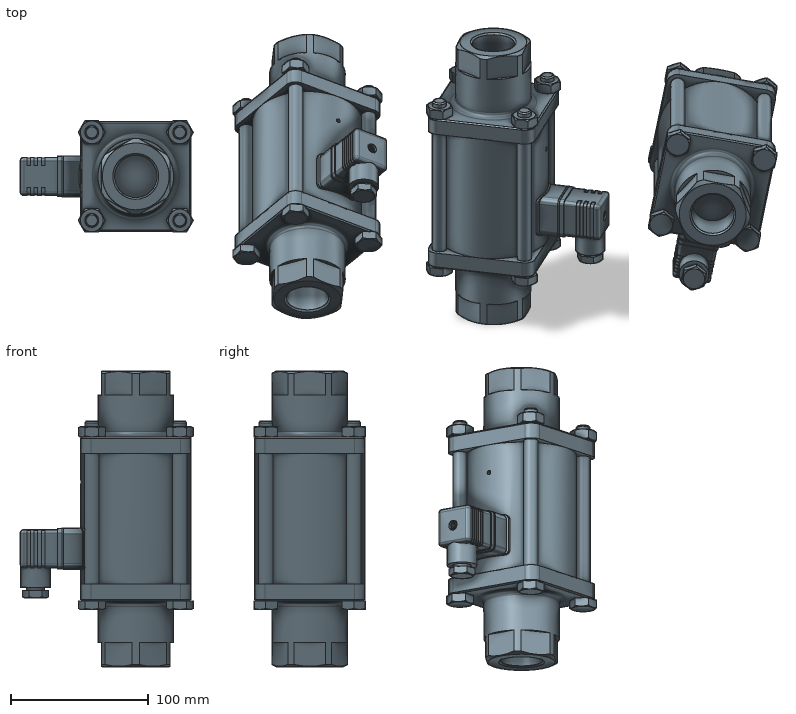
import cadquery as cq
import math

overall_length = 215.0

body_diameter = 80.0
body_length = 95.0
plate_width = 80.0
plate_thickness = 12.0
plate_corner_radius = 7.5
plate_chamfer = 1.0
vent_diameter = 3.0
vent_depth = 2.0
vent_z = 26.7

neck_diameter = 55.0
neck_root_fillet = 4.0
port_hex_flats = 50.0
port_hex_length = 17.5
port_hex_turn = 30.0
port_chamfer_radial = 3.2
port_chamfer_axial = 1.7
port_bore_diameter = 30.75
port_bore_depth = 25.0
port_bore_chamfer = 1.25

tie_pitch = 64.0
sleeve_diameter = 10.5
thread_diameter = 10.0
thread_end_z = 71.0
thread_chamfer_radial = 0.9
thread_chamfer_axial = 1.1
nut_flats = 17.0
nut_height = 7.6
bolt_head_height = 6.4
nut_chamfer_diameter = 16.5

connector_z = -21.65
connector_end_x = -84.01
cap_inner_x = -56.9
collar_inner_x = -53.6
seal_inner_x = -52.4
cap_width = 27.8
collar_width = 29.4
seal_width = 29.8
socket_width = 30.0
cap_corner_radius = 2.6
socket_corner_radius = 4.3
saddle_width = 33.0
saddle_height = 30.2
saddle_thickness = 1.5
saddle_corner_radius = 4.0

groove_count = 3
groove_width = 2.6
groove_pitch = 5.2
groove_depth = 0.5
groove_reach = 6.0
first_groove_x = -77.8

screw_hole_diameter = 7.2
screw_hole_depth = 2.5
screw_head_diameter = 5.2
screw_head_height = 1.5
screw_slot_length = 4.13
screw_slot_width = 1.2
screw_slot_depth = 0.8

gland_x = -72.9
gland_diameter = 21.5
gland_bottom_z = -49.7
gland_neck_diameter = 13.3
gland_neck_length = 2.3
gland_hex_flats = 16.5
gland_hex_height = 5.6
gland_chamfer_diameter = 15.6

half_length = overall_length / 2
plate_outer_z = body_length / 2 + plate_thickness
neck_radius = neck_diameter / 2
cap_length = cap_inner_x - connector_end_x
cap_half_width = cap_width / 2


def disc(diameter, z_start, z_end, x=0.0, y=0.0):
    """Upright cylinder between two heights."""
    return cq.Workplane("XY", origin=(x, y, z_start)).circle(diameter / 2).extrude(z_end - z_start)


def hex_prism(flats, z_start, height, x=0.0, y=0.0):
    """Upright hexagonal prism with two corners on the X direction."""
    corner_diameter = flats / math.cos(math.pi / 6)
    return cq.Workplane("XY", origin=(x, y, z_start)).polygon(6, corner_diameter).extrude(height)


def chamfered_hex(flats, z_start, height, chamfer_diameter, end_faces, x=0.0, y=0.0):
    """Hexagon whose corners are turned off by a 30 degree cone on the chosen end faces."""
    corner_diameter = flats / math.cos(math.pi / 6)
    radial = (corner_diameter - chamfer_diameter) / 2
    axial = radial * math.tan(math.pi / 6)
    blank = cq.Workplane("XY", origin=(x, y, z_start)).circle(corner_diameter / 2).extrude(height)
    for selector in end_faces:
        blank = blank.faces(selector).chamfer(axial, radial)
    return hex_prism(flats, z_start, height, x, y).intersect(blank)


def rounded_bar(x_start, x_end, width, height, corner_radius):
    """Bar along X with rounded long edges, centred on the connector axis."""
    bar = cq.Workplane("YZ", origin=(x_start, 0, connector_z)).rect(width, height).extrude(x_end - x_start)
    return bar.edges("|X").fillet(corner_radius)


def make_end():
    """Upper end plate with its port neck, hexagon and blind bore."""
    plate = (
        cq.Workplane("XY", origin=(0, 0, body_length / 2))
        .rect(plate_width, plate_width)
        .extrude(plate_thickness)
        .edges("|Z")
        .fillet(plate_corner_radius)
        .faces(">Z")
        .edges()
        .chamfer(plate_chamfer)
    )
    arc_offset = neck_root_fillet * (1 - math.sqrt(0.5))
    neck = (
        cq.Workplane("XZ")
        .moveTo(0, body_length / 2)
        .lineTo(neck_radius + neck_root_fillet, body_length / 2)
        .lineTo(neck_radius + neck_root_fillet, plate_outer_z)
        .threePointArc(
            (neck_radius + arc_offset, plate_outer_z + arc_offset),
            (neck_radius, plate_outer_z + neck_root_fillet),
        )
        .lineTo(neck_radius, half_length - port_chamfer_axial)
        .lineTo(neck_radius - port_chamfer_radial, half_length)
        .lineTo(0, half_length)
        .close()
        .revolve(360, (0, 0), (0, 1))
    )
    hex_z = half_length - port_hex_length
    flats_waste = disc(2 * neck_diameter, hex_z, half_length).cut(
        hex_prism(port_hex_flats, hex_z, port_hex_length).rotate((0, 0, 0), (0, 0, 1), port_hex_turn)
    )
    bore = disc(port_bore_diameter, half_length - port_bore_depth, half_length)
    end = plate.union(neck).cut(flats_waste).cut(bore)
    bore_mouth = end.faces(">Z").edges("%CIRCLE").edges(cq.selectors.RadiusNthSelector(0))
    return bore_mouth.chamfer(port_bore_chamfer)


def make_tie_rod(x, y):
    """Sleeve between the plates, nut and thread end above, bolt head below."""
    sleeve = disc(sleeve_diameter, -body_length / 2, body_length / 2, x, y)
    thread = (
        disc(thread_diameter, body_length / 2, thread_end_z, x, y)
        .faces(">Z")
        .chamfer(thread_chamfer_axial, thread_chamfer_radial)
    )
    nut = chamfered_hex(nut_flats, plate_outer_z, nut_height, nut_chamfer_diameter, (">Z", "<Z"), x, y)
    head_z = -plate_outer_z - bolt_head_height
    head = chamfered_hex(nut_flats, head_z, bolt_head_height, nut_chamfer_diameter, ("<Z",), x, y)
    return sleeve.union(thread).union(nut).union(head)


def make_groove(x, side):
    """Shallow U-shaped groove around one side of the connector cap."""
    band = cq.Workplane("XY").box(groove_width, groove_reach, cap_width)
    band = band.translate((x, side * (cap_half_width - groove_reach / 2), connector_z))
    core_width = cap_width - 2 * groove_depth
    core = rounded_bar(connector_end_x, cap_inner_x, core_width, core_width, cap_corner_radius - groove_depth)
    return band.cut(core)


def make_cap():
    """Outer connector cap with grip grooves and a recessed cross-slotted screw."""
    cap = (
        cq.Workplane("XY")
        .box(cap_length, cap_width, cap_width)
        .translate((connector_end_x + cap_length / 2, 0, connector_z))
        .edges("|X or <X")
        .fillet(cap_corner_radius)
    )
    for index in range(groove_count):
        for side in (-1, 1):
            cap = cap.cut(make_groove(first_groove_x + index * groove_pitch, side))
    face = cq.Workplane("YZ", origin=(connector_end_x, 0, connector_z))
    cap = cap.cut(face.circle(screw_hole_diameter / 2).extrude(screw_hole_depth))
    floor = face.workplane(offset=screw_hole_depth)
    head_top = face.workplane(offset=screw_hole_depth - screw_head_height)
    head = floor.circle(screw_head_diameter / 2).extrude(-screw_head_height)
    head = head.cut(head_top.rect(screw_slot_length, screw_slot_width).extrude(screw_slot_depth))
    head = head.cut(head_top.rect(screw_slot_width, screw_slot_length).extrude(screw_slot_depth))
    return cap.union(head)


def make_gland():
    """Cable gland pointing down from the connector cap."""
    barrel = disc(gland_diameter, gland_bottom_z, connector_z - cap_half_width / 2, gland_x)
    neck_bottom = gland_bottom_z - gland_neck_length
    neck = disc(gland_neck_diameter, neck_bottom, gland_bottom_z, gland_x)
    nut_z = neck_bottom - gland_hex_height
    nut = chamfered_hex(gland_hex_flats, nut_z, gland_hex_height, gland_chamfer_diameter, ("<Z",), gland_x)
    return barrel.union(neck).union(nut)


def make_connector():
    """Complete plug connector with the saddle that seats it on the body."""
    saddle = rounded_bar(-plate_width, 0, saddle_width, saddle_height, saddle_corner_radius)
    saddle_reach = disc(body_diameter + 2 * saddle_thickness, -body_length / 2, body_length / 2)
    saddle = saddle.intersect(saddle_reach)
    socket = rounded_bar(seal_inner_x, 0, socket_width, socket_width, socket_corner_radius)
    collar_radius = cap_corner_radius + (collar_width - cap_width) / 2
    collar = rounded_bar(cap_inner_x, collar_inner_x, collar_width, collar_width, collar_radius)
    seal_radius = cap_corner_radius + (seal_width - cap_width) / 2
    seal = rounded_bar(collar_inner_x, seal_inner_x, seal_width, seal_width, seal_radius)
    return saddle.union(socket).union(seal).union(collar).union(make_cap()).union(make_gland())


body = disc(body_diameter, -body_length / 2, body_length / 2)
vent = (
    cq.Workplane("YZ", origin=(-body_diameter / 2, 0, vent_z))
    .circle(vent_diameter / 2)
    .extrude(vent_depth)
)
body = body.cut(vent)

upper_end = make_end()
lower_end = upper_end.mirror("XY")
result = body.union(upper_end).union(lower_end)
for tie_x in (-tie_pitch / 2, tie_pitch / 2):
    for tie_y in (-tie_pitch / 2, tie_pitch / 2):
        result = result.union(make_tie_rod(tie_x, tie_y))
result = result.union(make_connector())